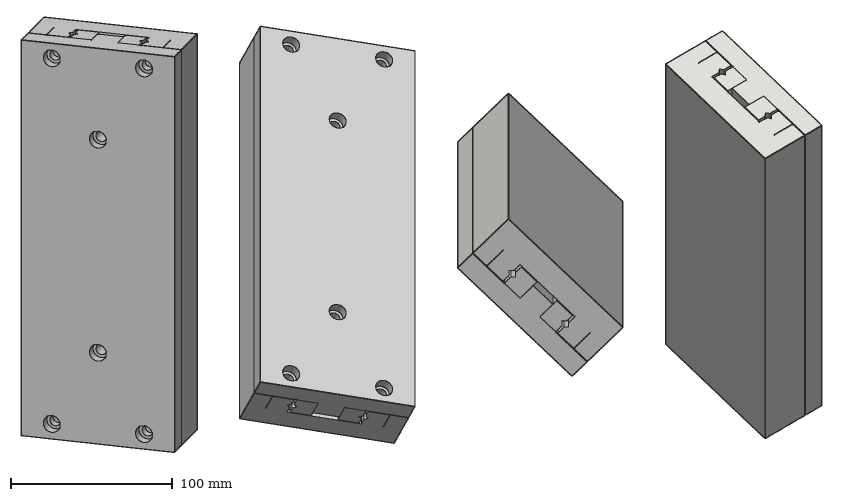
import cadquery as cq

LENGTH = 260.0
WIDTH = 100.0
HEIGHT = 45.0

EDGE_CHAMFER = 0.3

BASE_THICKNESS = 13.3
RAIL_SEAT_RISE = 0.3
RIB_WIDTH = 17.2
RIB_RISE = 11.5

RAIL_WIDTH = 13.8
RAIL_HEIGHT = 14.8

RUNNING_GAP = 0.5
SIDE_GAP = 1.5
GROOVE_DEPTH = 2.0
GROOVE_RISE = 7.8

SLIT_SPACING = 76.0
SLIT_WIDTH = 0.3

HOLE_DIAMETER = 7.0
COUNTERBORE_DIAMETER = 11.0
COUNTERBORE_DEPTH = 7.0
CORNER_SPACING_X = 60.0
CORNER_SPACING_Z = 240.0
MIDDLE_SPACING_Z = 140.0

FRONT_FACE = -HEIGHT / 2
BACK_FACE = HEIGHT / 2
BASE_TOP = FRONT_FACE + BASE_THICKNESS
RAIL_SEAT = BASE_TOP + RAIL_SEAT_RISE
RAIL_INNER_X = RIB_WIDTH / 2
RAIL_OUTER_X = RAIL_INNER_X + RAIL_WIDTH
CHANNEL_HALF_WIDTH = RAIL_OUTER_X + SIDE_GAP
CARRIAGE_BOTTOM = BASE_TOP + RUNNING_GAP
RAIL_TOP = RAIL_SEAT + RAIL_HEIGHT
RIB_TOP = RAIL_SEAT + RIB_RISE
CHANNEL_ROOF = RAIL_TOP + RUNNING_GAP
GROOVE_Y = RAIL_SEAT + GROOVE_RISE
CORNER_HOLES = [
    (x_side * CORNER_SPACING_X / 2, z_side * CORNER_SPACING_Z / 2)
    for x_side in (-1, 1)
    for z_side in (-1, 1)
]
MIDDLE_HOLES = [(0, z_side * MIDDLE_SPACING_Z / 2) for z_side in (-1, 1)]


def bar(x_min, x_max, y_min, y_max):
    """Full-length bar with a rectangular section."""
    section = cq.Workplane("XY", origin=((x_min + x_max) / 2, (y_min + y_max) / 2, -LENGTH / 2))
    return section.rect(x_max - x_min, y_max - y_min).extrude(LENGTH)


def groove_cutter(face_x):
    """Full-length square bar standing on its corner, centred on a rail or channel face."""
    corners = [
        (face_x - GROOVE_DEPTH, GROOVE_Y),
        (face_x, GROOVE_Y - GROOVE_DEPTH),
        (face_x + GROOVE_DEPTH, GROOVE_Y),
        (face_x, GROOVE_Y + GROOVE_DEPTH),
    ]
    return cq.Workplane("XY", origin=(0, 0, -LENGTH / 2)).polyline(corners).close().extrude(LENGTH)


def bore(x, z, y_start, diameter, depth):
    """Cylinder that starts at y_start and runs toward +Y."""
    return cq.Workplane("XZ", origin=(x, y_start, z)).circle(diameter / 2).extrude(-depth)


def make_base():
    """Chamfered plate with the rail seat, the rib and six counterbored through holes."""
    plate = bar(-WIDTH / 2, WIDTH / 2, FRONT_FACE, BASE_TOP).edges("not(>Y)").chamfer(EDGE_CHAMFER)
    rib = bar(-RIB_WIDTH / 2, RIB_WIDTH / 2, BASE_TOP, RIB_TOP)
    seat = bar(-RAIL_OUTER_X, RAIL_OUTER_X, BASE_TOP, RAIL_SEAT)
    base = plate.union(seat).union(rib)
    for x, z in CORNER_HOLES + MIDDLE_HOLES:
        base = base.cut(bore(x, z, FRONT_FACE, COUNTERBORE_DIAMETER, COUNTERBORE_DEPTH))
        base = base.cut(bore(x, z, FRONT_FACE, HOLE_DIAMETER, RIB_TOP - FRONT_FACE))
    return base


def make_carriage():
    """Chamfered block with a grooved channel over the rails and a preload slit on each side."""
    carriage = bar(-WIDTH / 2, WIDTH / 2, CARRIAGE_BOTTOM, BACK_FACE).edges("not(<Y)").chamfer(EDGE_CHAMFER)
    carriage = carriage.cut(bar(-CHANNEL_HALF_WIDTH, CHANNEL_HALF_WIDTH, CARRIAGE_BOTTOM, CHANNEL_ROOF))
    for side in (-1, 1):
        slit_x = side * SLIT_SPACING / 2
        slit = bar(slit_x - SLIT_WIDTH / 2, slit_x + SLIT_WIDTH / 2, CARRIAGE_BOTTOM, RAIL_TOP)
        carriage = carriage.cut(slit).cut(groove_cutter(side * CHANNEL_HALF_WIDTH))
    return carriage


def make_rail(side):
    """Guide rail beside the rib; side is -1 or +1 along X."""
    inner_x = side * RAIL_INNER_X
    outer_x = side * RAIL_OUTER_X
    rail = bar(min(inner_x, outer_x), max(inner_x, outer_x), RAIL_SEAT, RAIL_TOP)
    return rail.cut(groove_cutter(outer_x))


base = make_base()
carriage = make_carriage()
rails = [make_rail(side) for side in (-1, 1)]

result = cq.Compound.makeCompound([base.val(), carriage.val(), *[rail.val() for rail in rails]])